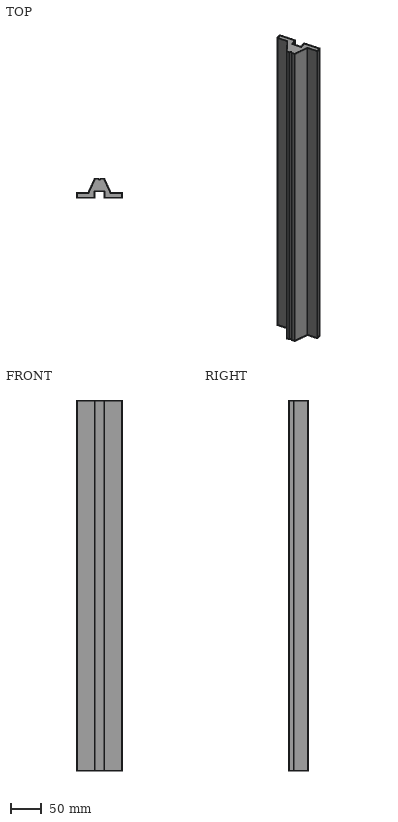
import cadquery as cq

length = 599.5
base_width = 73.0
depth = 31.0

flange_thickness = 8.0
rib_root_width = 36.5
rib_tip_width = 15.0
slot_width = 16.0
slot_depth = 10.0

groove_width = 5.0
groove_depth = 2.0

front_y = -depth / 2
flange_back_y = front_y + flange_thickness
rib_tip_y = depth / 2
slot_floor_y = front_y + slot_depth

right_half = [
    (slot_width / 2, slot_floor_y),
    (slot_width / 2, front_y),
    (base_width / 2, front_y),
    (base_width / 2, flange_back_y),
    (rib_root_width / 2, flange_back_y),
    (rib_tip_width / 2, rib_tip_y),
    (groove_width / 2, rib_tip_y),
    (0, rib_tip_y - groove_depth),
]

left_half = [(-x, y) for x, y in reversed(right_half[:-1])]

result = (
    cq.Workplane("XY")
    .workplane(offset=-length / 2)
    .polyline(right_half + left_half)
    .close()
    .extrude(length)
)